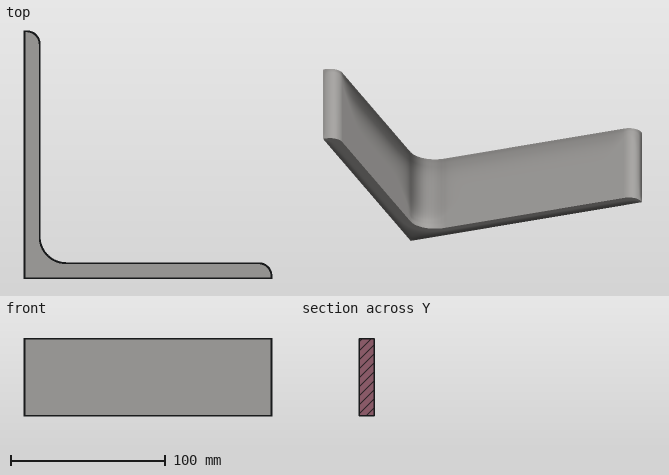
import cadquery as cq

leg_length = 160.0
leg_thickness = 10.0
root_radius = 17.0
toe_radius = 8.5
section_height = 50.0


def angle_blank():
    """Sharp-cornered L section with its outer corner at the origin."""
    outline = [
        (0, 0),
        (leg_length, 0),
        (leg_length, leg_thickness),
        (leg_thickness, leg_thickness),
        (leg_thickness, leg_length),
        (0, leg_length),
    ]
    return cq.Workplane("XY").polyline(outline).close().extrude(section_height)


def round_upright_edge(body, x, y, radius):
    """Fillet the vertical edge that passes through (x, y)."""
    edge_middle = (x, y, section_height / 2)
    edge = cq.selectors.NearestToPointSelector(edge_middle)
    return body.edges("|Z").edges(edge).fillet(radius)


angle = round_upright_edge(angle_blank(), leg_thickness, leg_thickness, root_radius)

for toe_x, toe_y in [(leg_length, leg_thickness), (leg_thickness, leg_length)]:
    angle = round_upright_edge(angle, toe_x, toe_y, toe_radius)

result = angle